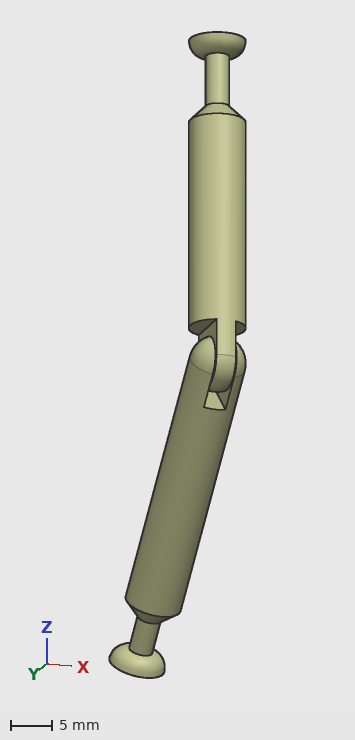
import cadquery as cq
import math

ARM_DIAMETER = 7.0
NECK_DIAMETER = 2.9
ARM_LENGTH = 41.5
TONGUE_NECK_LENGTH = 6.45
FORK_NECK_LENGTH = 4.4
JOINT_DEPTH = 4.55
TONGUE_THICKNESS = 2.5
SLOT_WIDTH = 2.8
BEND_ANGLE = 135.0

arm_radius = ARM_DIAMETER / 2
neck_radius = NECK_DIAMETER / 2
cone_height = arm_radius - neck_radius
head_height = arm_radius - neck_radius
neck_top = ARM_LENGTH - head_height
joint_height = arm_radius + JOINT_DEPTH
joint_middle = (JOINT_DEPTH - arm_radius) / 2
diagonal = math.sqrt(0.5)


def make_arm_blank(neck_length):
    """Upright turned arm with its ball end centred on the hinge at the origin."""
    neck_bottom = neck_top - neck_length
    cone_bottom = neck_bottom - cone_height
    head_edge_middle = (
        neck_radius + head_height * diagonal,
        ARM_LENGTH - head_height * diagonal,
    )
    ball_middle = (arm_radius * diagonal, -arm_radius * diagonal)
    return (
        cq.Workplane("XZ")
        .moveTo(0, -arm_radius)
        .threePointArc(ball_middle, (arm_radius, 0))
        .lineTo(arm_radius, cone_bottom)
        .lineTo(neck_radius, neck_bottom)
        .lineTo(neck_radius, neck_top)
        .threePointArc(head_edge_middle, (arm_radius, ARM_LENGTH))
        .lineTo(0, ARM_LENGTH)
        .close()
        .revolve(360, (0, 0, 0), (0, 1, 0))
    )


def make_joint_block(width):
    """Block of the given X width, spanning the joint end of an arm."""
    return (
        cq.Workplane("XY")
        .box(width, ARM_DIAMETER, joint_height)
        .translate((0, 0, joint_middle))
    )


def make_tongue_arm():
    """Upright arm whose ball end is cut away on both sides to leave a flat tongue."""
    side_cheeks = make_joint_block(ARM_DIAMETER).cut(make_joint_block(TONGUE_THICKNESS))
    return make_arm_blank(TONGUE_NECK_LENGTH).cut(side_cheeks)


def make_fork_arm():
    """Arm with a slot through its ball end, swung down about the hinge axis toward +Y."""
    slotted_arm = make_arm_blank(FORK_NECK_LENGTH).cut(make_joint_block(SLOT_WIDTH))
    return slotted_arm.rotate((0, 0, 0), (1, 0, 0), -BEND_ANGLE)


tongue_arm = make_tongue_arm()
fork_arm = make_fork_arm()

result = cq.Compound.makeCompound([tongue_arm.val(), fork_arm.val()])